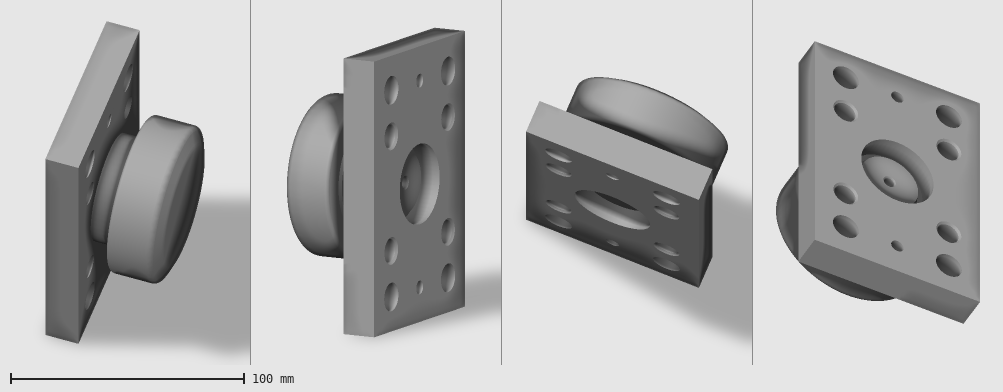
import cadquery as cq
import math

PLATE_HEIGHT = 120.0
PLATE_WIDTH = 80.0
PLATE_THICKNESS = 15.0

HOLE_Y = 25.0
OUTER_HOLE_Z = 45.0
INNER_HOLE_Z = 25.0
BOLT_HOLE_DIAMETER = 12.5
DOWEL_HOLE_DIAMETER = 6.0
TAPPED_HOLE_DIAMETER = 10.2
TAPPED_HOLE_MOUTH_DIAMETER = 12.0

RECESS_DIAMETER = 35.0
RECESS_DEPTH = 10.2
BOSS_BASE_DIAMETER = 30.0
BOSS_TOP_DIAMETER = 27.6
BOSS_HEIGHT = 3.2

CENTRE_HOLE_DIAMETER = 4.8
CENTRE_HOLE_MOUTH_DIAMETER = 6.0
CENTRE_HOLE_DEPTH = 12.0
DRILL_POINT_ANGLE = 118.0

NECK_DIAMETER = 48.0
NECK_LENGTH = 9.0
COLLAR_DIAMETER = 50.4
COLLAR_LENGTH = 1.7
ROLLER_DIAMETER = 70.1
ROLLER_FILLET = 1.5
OVERALL_LENGTH = 49.0
CONE_LENGTH = 3.2
CONE_DROP = 7.9
CONE_START_FILLET = 2.6
CONE_END_FILLET = 7.2


def revolve_about_x(profile):
    """Turn a closed XY profile, Y being the radius, into a solid about the X axis."""
    return profile.revolve(360, (0, 0, 0), (1, 0, 0))


def make_plate():
    return cq.Workplane("XY").box(
        PLATE_THICKNESS, PLATE_WIDTH, PLATE_HEIGHT, centered=(False, True, True)
    )


def make_neck_and_collar():
    collar_start = PLATE_THICKNESS + NECK_LENGTH
    neck = cq.Workplane("YZ", origin=(PLATE_THICKNESS, 0, 0)).circle(NECK_DIAMETER / 2).extrude(NECK_LENGTH)
    collar = cq.Workplane("YZ", origin=(collar_start, 0, 0)).circle(COLLAR_DIAMETER / 2).extrude(COLLAR_LENGTH)
    return neck.union(collar)


def make_roller():
    """Roller whose free end narrows in a rounded cone before the flat end face."""
    start = PLATE_THICKNESS + NECK_LENGTH + COLLAR_LENGTH
    radius = ROLLER_DIAMETER / 2
    cone_start = OVERALL_LENGTH - CONE_LENGTH
    cone_end_radius = radius - CONE_DROP
    profile = cq.Workplane("XY").polyline(
        [
            (start, 0),
            (start, radius),
            (cone_start, radius),
            (OVERALL_LENGTH, cone_end_radius),
            (OVERALL_LENGTH, 0),
        ]
    ).close()
    roller = revolve_about_x(profile)
    roller = roller.edges("<X").fillet(ROLLER_FILLET)
    roller = roller.edges(">X").fillet(CONE_END_FILLET)
    cone_start_edge = cq.selectors.NearestToPointSelector((cone_start, 0, 0))
    return roller.edges("%CIRCLE").edges(cone_start_edge).fillet(CONE_START_FILLET)


def cut_through_holes(body, diameter, positions):
    cutter = (
        cq.Workplane("YZ")
        .pushPoints(positions)
        .circle(diameter / 2)
        .extrude(PLATE_THICKNESS)
    )
    return body.cut(cutter)


def four_corners(y, z):
    return [(side_y * y, side_z * z) for side_y in (-1, 1) for side_z in (-1, 1)]


def make_mouth_chamfer(mouth_diameter, hole_diameter):
    """45 degree countersink opening towards -X, with its mouth at the origin."""
    depth = (mouth_diameter - hole_diameter) / 2
    profile = cq.Workplane("XY").polyline(
        [(0, 0), (0, mouth_diameter / 2), (depth, hole_diameter / 2), (depth, 0)]
    ).close()
    return revolve_about_x(profile)


def cut_recess(body):
    """Sink the round recess, leaving the tapered boss on its floor."""
    recess = cq.Workplane("YZ").circle(RECESS_DIAMETER / 2).extrude(RECESS_DEPTH)
    boss_top = RECESS_DEPTH - BOSS_HEIGHT
    profile = cq.Workplane("XY").polyline(
        [
            (boss_top, 0),
            (boss_top, BOSS_TOP_DIAMETER / 2),
            (RECESS_DEPTH, BOSS_BASE_DIAMETER / 2),
            (RECESS_DEPTH, 0),
        ]
    ).close()
    boss = revolve_about_x(profile)
    return body.cut(recess.cut(boss))


def cut_centre_hole(body):
    """Drill the blind hole into the boss, with a conical bottom and a chamfered mouth."""
    boss_top = RECESS_DEPTH - BOSS_HEIGHT
    radius = CENTRE_HOLE_DIAMETER / 2
    point_length = radius / math.tan(math.radians(DRILL_POINT_ANGLE / 2))
    profile = cq.Workplane("XY").polyline(
        [(0, 0), (0, radius), (CENTRE_HOLE_DEPTH, radius), (CENTRE_HOLE_DEPTH + point_length, 0)]
    ).close()
    drill = revolve_about_x(profile)
    mouth = make_mouth_chamfer(CENTRE_HOLE_MOUTH_DIAMETER, CENTRE_HOLE_DIAMETER)
    return body.cut(drill.union(mouth).translate((boss_top, 0, 0)))


result = make_plate().union(make_neck_and_collar()).union(make_roller())
result = cut_through_holes(result, BOLT_HOLE_DIAMETER, four_corners(HOLE_Y, OUTER_HOLE_Z))
result = cut_through_holes(result, DOWEL_HOLE_DIAMETER, [(0, -OUTER_HOLE_Z), (0, OUTER_HOLE_Z)])

tapped_positions = four_corners(HOLE_Y, INNER_HOLE_Z)
result = cut_through_holes(result, TAPPED_HOLE_DIAMETER, tapped_positions)
for hole_y, hole_z in tapped_positions:
    countersink = make_mouth_chamfer(TAPPED_HOLE_MOUTH_DIAMETER, TAPPED_HOLE_DIAMETER)
    result = result.cut(countersink.translate((0, hole_y, hole_z)))

result = cut_recess(result)
result = cut_centre_hole(result)